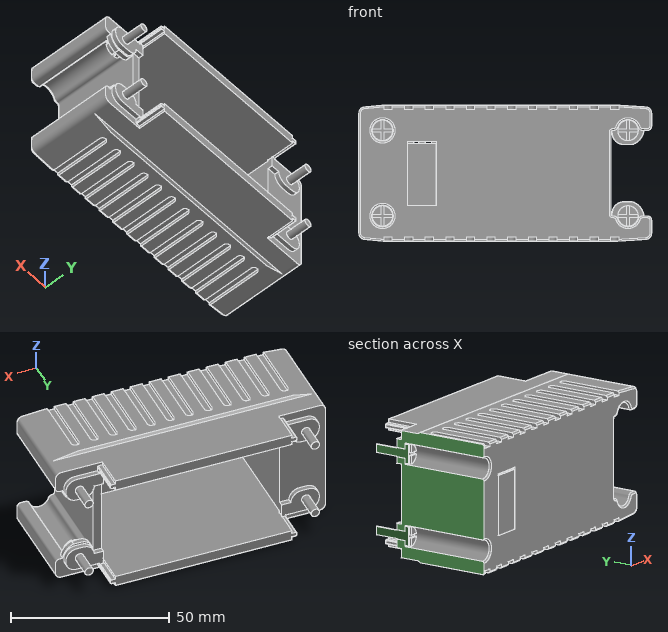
import cadquery as cq


LENGTH = 92.5
HEIGHT = 43.0
CROWN_RISE = 0.6
CROWN_HALF_HEIGHT = HEIGHT / 2
FLANK_HALF_HEIGHT = CROWN_HALF_HEIGHT - CROWN_RISE
HOUSING_DEPTH = 32.0
CORNER_RADIUS = 2.0
FRONT_CHAMFER = 0.6

CROWN_LEFT = -38.3
CROWN_RIGHT = 35.2
CROWN_FLAT_DEPTH = 24.5
CROWN_END_DEPTH = 25.5

SLOT_COUNT = 12
SLOT_ROW_LENGTH = 71.6
SLOT_PITCH = SLOT_ROW_LENGTH / (SLOT_COUNT - 1)
SLOT_WIDTH = 2.6
SLOT_RECESS = 1.4
SLOT_END_DEPTH = 21.5
FIRST_SLOT_X = CROWN_LEFT + SLOT_WIDTH / 2

SCREW_X = 38.8
SCREW_Z = 13.5
SHAFT_DIAMETER = 2.9
SHAFT_END_DEPTH = 41.5
HEAD_DIAMETER = 6.5
HEAD_HEIGHT = 2.0
CROSS_WIDTH = 0.9
CROSS_RECESS = 0.7
WELL_DIAMETER = 6.8
SEAT_THICKNESS = 1.7
SEAT_DEPTH = HOUSING_DEPTH - SEAT_THICKNESS

NOTCH_X = 33.4
NOTCH_CORNER_RADIUS = 0.65
NOTCH_LIP_RADIUS = 1.4

SEAT_LEFT = 33.7
SEAT_RIGHT = 43.8
SEAT_BOTTOM_Z = 9.0
SEAT_ROUND_RADIUS = 3.9
SEAT_CURVE_FOOT_X = 40.05
SEAT_CURVE_RADIUS = 5.55

FRONT_WALL = 1.85
CAVITY_HALF_LENGTH = 30.5
CAVITY_HALF_HEIGHT = 17.3

TONGUE_END_DEPTH = 42.6
TONGUE_HALF_LENGTH = 30.25
RAIL_HALF_LENGTH = 31.9
RAIL_TOP_Z = 19.8
RAIL_BOTTOM_Z = 18.3
RAIL_CHAMFER = 0.3

LUG_OUTER_X = 43.4
LUG_BOTTOM_Z = 9.8
LUG_TOP_Z = 17.9
LUG_RADIUS = 3.7
LUG_END_DEPTH = 33.7

WINDOW_LEFT = -30.9
WINDOW_RIGHT = -21.6
WINDOW_BOTTOM = -10.3
WINDOW_TOP = 10.0
WINDOW_RECESS = 0.9
PANEL_SIDE_GAP = 0.3
PANEL_TOP_GAP = 0.6
WINDOW_FLOOR_OPENINGS = [(-28.9, -27.4), (-25.25, -23.3)]

SIDES = (1, -1)
SCREW_CENTERS = [(x_side * SCREW_X, z_side * SCREW_Z) for x_side in SIDES for z_side in SIDES]
SELECTION_MARGIN = 0.1


def block(x_span, y_span, z_span):
    """Box between the given X, Y and Z limits."""
    sizes = [high - low for low, high in (x_span, y_span, z_span)]
    corner = (x_span[0], y_span[0], z_span[0])
    return cq.Workplane("XY").box(*sizes, centered=False).translate(corner)


def plane_at(depth):
    """Sketch plane at a depth; its local axes are X and Z and its normal is -Y."""
    return cq.Workplane(cq.Plane(origin=(0, depth, 0), xDir=(1, 0, 0), normal=(0, -1, 0)))


def extrude_back(sketch, distance):
    """Extrude a sketch along +Y."""
    return sketch.extrude(-distance)


def cylinder(x, z, diameter, start_depth, end_depth):
    """Cylinder along Y."""
    sketch = plane_at(start_depth).center(x, z).circle(diameter / 2)
    return extrude_back(sketch, end_depth - start_depth)


def mirrored_pair(shape):
    """The shape together with its mirror image below the XY plane."""
    return shape.union(shape.mirror("XY"))


def housing_block():
    core = block(
        (-LENGTH / 2, LENGTH / 2), (0, HOUSING_DEPTH), (-FLANK_HALF_HEIGHT, FLANK_HALF_HEIGHT)
    )
    core = core.edges("|Y").fillet(CORNER_RADIUS)
    crown_end_x = LENGTH / 2 - CORNER_RADIUS
    upper_outline = [
        (-crown_end_x, FLANK_HALF_HEIGHT),
        (CROWN_LEFT, CROWN_HALF_HEIGHT),
        (CROWN_RIGHT, CROWN_HALF_HEIGHT),
        (crown_end_x, FLANK_HALF_HEIGHT),
    ]
    lower_outline = [(x, -z) for x, z in reversed(upper_outline)]
    lengthwise = extrude_back(
        plane_at(0).polyline(upper_outline + lower_outline).close(), CROWN_END_DEPTH
    )
    crosswise = (
        cq.Workplane("YZ")
        .polyline(
            [
                (0, -CROWN_HALF_HEIGHT),
                (CROWN_FLAT_DEPTH, -CROWN_HALF_HEIGHT),
                (CROWN_END_DEPTH, -FLANK_HALF_HEIGHT),
                (CROWN_END_DEPTH, FLANK_HALF_HEIGHT),
                (CROWN_FLAT_DEPTH, CROWN_HALF_HEIGHT),
                (0, CROWN_HALF_HEIGHT),
            ]
        )
        .close()
        .extrude(LENGTH / 2, both=True)
    )
    return core.union(lengthwise.intersect(crosswise))


def cut_notch(body):
    """Open the right end, scallop its arms around the two screws there and round the arm corners."""
    notch = block((NOTCH_X, LENGTH), (0, HOUSING_DEPTH), (-SCREW_Z, SCREW_Z))
    notch = notch.edges("|Y and <X").fillet(NOTCH_CORNER_RADIUS)
    body = body.cut(notch)
    for side in SIDES:
        body = body.cut(cylinder(SCREW_X, side * SCREW_Z, WELL_DIAMETER, 0, HOUSING_DEPTH))
    lip_min_x = NOTCH_X + NOTCH_CORNER_RADIUS + SELECTION_MARGIN
    lip_max_z = SCREW_Z + SELECTION_MARGIN
    scallop_lips = cq.selectors.BoxSelector(
        (lip_min_x, 0, -lip_max_z), (LENGTH, HOUSING_DEPTH, lip_max_z)
    )
    return body.edges("|Y").edges(scallop_lips).fillet(NOTCH_LIP_RADIUS)


def cut_left_wells(body):
    for side in SIDES:
        body = body.cut(cylinder(-SCREW_X, side * SCREW_Z, WELL_DIAMETER, 0, SEAT_DEPTH))
    return body


def cut_cooling_slots(body):
    straight_depth = SLOT_END_DEPTH - SLOT_WIDTH / 2
    floor_z = CROWN_HALF_HEIGHT - SLOT_RECESS
    for index in range(SLOT_COUNT):
        x = FIRST_SLOT_X + index * SLOT_PITCH
        slot = block(
            (x - SLOT_WIDTH / 2, x + SLOT_WIDTH / 2), (0, straight_depth), (floor_z, CROWN_HALF_HEIGHT)
        )
        round_end = (
            cq.Workplane("XY", origin=(x, straight_depth, floor_z))
            .circle(SLOT_WIDTH / 2)
            .extrude(SLOT_RECESS)
        )
        body = body.cut(mirrored_pair(slot.union(round_end)))
    return body


def cut_interior(body):
    """Hollow the housing from behind, then cut the window recess and the openings in its floor."""
    cavity = block(
        (-CAVITY_HALF_LENGTH, CAVITY_HALF_LENGTH),
        (FRONT_WALL, HOUSING_DEPTH),
        (-CAVITY_HALF_HEIGHT, CAVITY_HALF_HEIGHT),
    )
    window_z = (WINDOW_BOTTOM, WINDOW_TOP)
    body = body.cut(cavity).cut(block((WINDOW_LEFT, WINDOW_RIGHT), (0, WINDOW_RECESS), window_z))
    for opening_x in WINDOW_FLOOR_OPENINGS:
        body = body.cut(block(opening_x, (WINDOW_RECESS, FRONT_WALL), window_z))
    return body


def tongues():
    """Upper and lower walls carried on behind the housing, each with a side rail at both ends."""
    depths = (HOUSING_DEPTH, TONGUE_END_DEPTH)
    wall = block(
        (-TONGUE_HALF_LENGTH, TONGUE_HALF_LENGTH), depths, (CAVITY_HALF_HEIGHT, FLANK_HALF_HEIGHT)
    )
    rail = block((-RAIL_HALF_LENGTH, RAIL_HALF_LENGTH), depths, (RAIL_BOTTOM_Z, RAIL_TOP_Z))
    rail = rail.edges("|Y").chamfer(RAIL_CHAMFER)
    return mirrored_pair(wall.union(rail))


def lugs():
    """Four rounded pads behind the housing, each joined by a foot and a web to the tongue."""
    depths = (HOUSING_DEPTH, LUG_END_DEPTH)
    pad = block((SEAT_LEFT, LUG_OUTER_X), depths, (LUG_BOTTOM_Z, LUG_TOP_Z))
    pad = pad.edges("|Y").edges(">X or <Z").fillet(LUG_RADIUS)
    foot = block((CAVITY_HALF_LENGTH, SCREW_X), depths, (SCREW_Z, LUG_TOP_Z))
    web = block((CAVITY_HALF_LENGTH, RAIL_HALF_LENGTH), depths, (SCREW_Z, RAIL_TOP_Z - RAIL_CHAMFER))
    right = mirrored_pair(pad.union(foot).union(web))
    return right.union(right.mirror("YZ"))


def notch_seats():
    """Plates in the notch on which the two right-hand screw heads rest."""
    sketch = (
        plane_at(SEAT_DEPTH)
        .moveTo(SEAT_LEFT, SCREW_Z + WELL_DIAMETER / 2)
        .lineTo(SEAT_LEFT, SEAT_BOTTOM_Z + SEAT_ROUND_RADIUS)
        .radiusArc((SEAT_LEFT + SEAT_ROUND_RADIUS, SEAT_BOTTOM_Z), -SEAT_ROUND_RADIUS)
        .lineTo(SEAT_CURVE_FOOT_X, SEAT_BOTTOM_Z)
        .radiusArc((SEAT_RIGHT, SCREW_Z), -SEAT_CURVE_RADIUS)
        .lineTo(SEAT_RIGHT, SCREW_Z + WELL_DIAMETER / 2)
        .close()
    )
    return mirrored_pair(extrude_back(sketch, SEAT_THICKNESS))


def drill_screw_holes(body):
    for x, z in SCREW_CENTERS:
        body = body.cut(cylinder(x, z, SHAFT_DIAMETER, SEAT_DEPTH, LUG_END_DEPTH))
    return body


def build_housing():
    body = cut_left_wells(cut_notch(housing_block()))
    body = body.faces("<Y").edges().chamfer(FRONT_CHAMFER)
    body = cut_interior(cut_cooling_slots(body))
    body = body.union(tongues()).union(lugs()).union(notch_seats())
    return drill_screw_holes(body)


def build_panel():
    """Cover panel set flush in the window recess, against its left and lower edges."""
    return block(
        (WINDOW_LEFT, WINDOW_RIGHT - PANEL_SIDE_GAP),
        (0, WINDOW_RECESS),
        (WINDOW_BOTTOM, WINDOW_TOP - PANEL_TOP_GAP),
    )


def build_screw(x, z):
    """Cross-slotted screw with its head resting on the seat."""
    head_front = SEAT_DEPTH - HEAD_HEIGHT
    screw = cylinder(x, z, HEAD_DIAMETER, head_front, SEAT_DEPTH)
    screw = screw.union(cylinder(x, z, SHAFT_DIAMETER, SEAT_DEPTH, SHAFT_END_DEPTH))
    for width, height in ((CROSS_WIDTH, HEAD_DIAMETER), (HEAD_DIAMETER, CROSS_WIDTH)):
        arm = plane_at(head_front).center(x, z).rect(width, height)
        screw = screw.cut(extrude_back(arm, CROSS_RECESS))
    return screw


housing = build_housing()
panel = build_panel()
screws = [build_screw(x, z) for x, z in SCREW_CENTERS]

result = cq.Compound.makeCompound(
    [housing.val(), panel.val()] + [screw.val() for screw in screws]
)